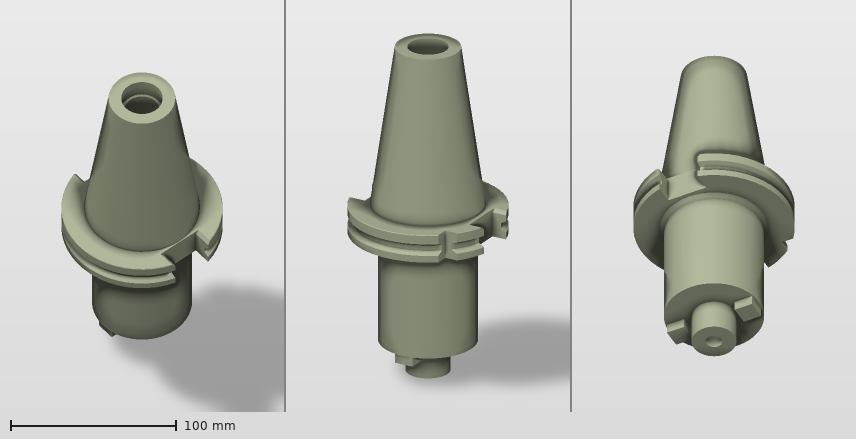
import cadquery as cq

total_height = 211.8
gauge_height = 110.0
flange_top = 108.6
flange_bottom = 90.8
neck_bottom = 87.7
body_bottom = 20.1

taper_small_radius = 20.1
taper_large_radius = 35.0
flange_radius = 48.7
neck_radius = 32.8
body_radius = 30.3
pilot_radius = 13.5

groove_height = 98.9
groove_floor_width = 3.5
groove_mouth_width = 7.5
groove_radius = 45.3
flange_edge_round = 0.5
radius_tolerance = 0.02

slot_width = 25.6
slot_bevel = 2.1
left_slot_floor = 37.7
right_slot_floor = 35.4

notch_x = -30.0
notch_y = 30.0

key_width = 12.3
key_height = 6.4
key_inner = 17.2
key_outer = 28.8

bore_steps = [(12.5, 200.3), (10.8, 158.8), (6.1, 105.9), (5.0, 0.0)]


def make_turned_blank():
    """Revolve the taper, grooved flange, body and pilot about Z."""
    half_floor = groove_floor_width / 2
    half_mouth = groove_mouth_width / 2
    upper_lip = groove_height + half_mouth
    profile = [
        (0, 0),
        (pilot_radius, 0),
        (pilot_radius, body_bottom),
        (body_radius, body_bottom),
        (body_radius, neck_bottom),
        (neck_radius, flange_bottom),
        (flange_radius, flange_bottom),
        (flange_radius, groove_height - half_mouth),
        (groove_radius, groove_height - half_floor),
        (groove_radius, groove_height + half_floor),
        (flange_radius, upper_lip),
        (flange_radius, flange_top),
        (taper_large_radius, flange_top),
        (taper_large_radius, gauge_height),
        (taper_small_radius, total_height),
        (0, total_height),
    ]
    blank = cq.Workplane("XZ").polyline(profile).close().revolve(360, (0, 0), (0, 1))

    def is_upper_rim(edge):
        height = edge.Center().z
        at_rim = edge.geomType() == "CIRCLE" and abs(edge.radius() - flange_radius) < radius_tolerance
        return at_rim and height > groove_height

    return blank.edges().filter(is_upper_rim).fillet(flange_edge_round)


def make_drive_slot(side, floor):
    """Radial slot cutter on one side of the flange (side is -1 or +1)."""
    half_width = slot_width / 2
    outline = [
        (-half_width, flange_bottom),
        (half_width, flange_bottom),
        (half_width, flange_top - slot_bevel),
        (half_width + slot_bevel, flange_top),
        (-half_width - slot_bevel, flange_top),
        (-half_width, flange_top - slot_bevel),
    ]
    slot = cq.Workplane("YZ", origin=(side * floor, 0, 0)).polyline(outline).close()
    return slot.extrude(side * flange_radius)


def make_notch():
    """Square cutter for the corner notch through the flange."""
    notch = cq.Workplane("XY", origin=(notch_x, notch_y, flange_bottom))
    height = flange_top - flange_bottom
    return notch.rect(-flange_radius, flange_radius, centered=False).extrude(height)


def make_key(side):
    """Rectangular drive key hanging below the body (side is -1 or +1)."""
    key_centre = side * (key_inner + key_outer) / 2
    key = cq.Workplane("XY", origin=(0, key_centre, body_bottom))
    return key.rect(key_width, key_outer - key_inner).extrude(-key_height)


def make_bore():
    """Coaxial cylinders forming the stepped through bore."""
    bore = cq.Workplane("XY")
    for radius, lower_end in bore_steps:
        step = cq.Workplane("XY", origin=(0, 0, lower_end))
        bore = bore.add(step.circle(radius).extrude(total_height - lower_end))
    return bore.combine()


result = make_turned_blank()
result = result.cut(make_drive_slot(-1, left_slot_floor))
result = result.cut(make_drive_slot(1, right_slot_floor))
result = result.cut(make_notch())
for key_side in (-1, 1):
    result = result.union(make_key(key_side))
result = result.cut(make_bore())